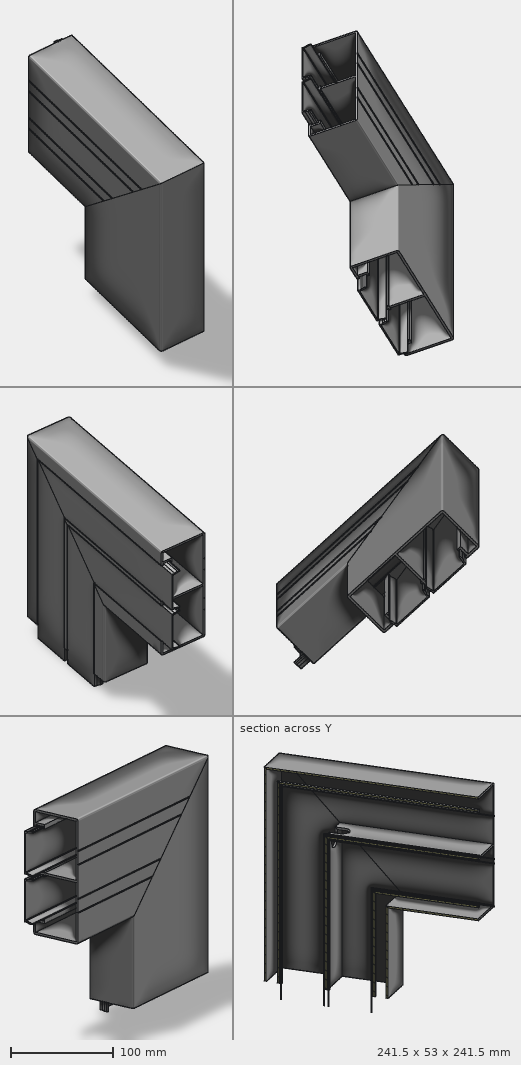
import cadquery as cq

overall = 241.5
cover_overhang = 17.0
leg_length = overall - cover_overhang
leg_width = 130.0
depth = 53.0
wall = 2.5
corner_radius = 2.5
leg_centre = -leg_width / 2

lip_outset = 13.5
lip_thickness = 2.5
lip_depth = 13.0
hook_thickness = 1.7
hook_overlap = 0.5

groove_spacing = 14.2
groove_width = 1.2
groove_depth = 0.7

web_thickness = 2.5
notch_width = 15.5
notch_reach = 17.0
notch_height = 23.0

bay_offset = 24.9
bay_offsets = (bay_offset, -bay_offset)
cover_width = 44.5
plate_thickness = 1.5
plate_inset = 0.7
leg_thickness = 1.5
root_chamfer = 0.7
cover_spread = 1.2
inner_bend_spread = 0.7
tip_taper = 0.5
spread_start = 4.0
spread_mid = 7.2
tip_start = 9.2
cover_depth = 10.6

flange_thickness = 2.7
flange_edge = bay_offset + cover_width / 2
flange_y = depth - flange_thickness
hook_edge = flange_edge - hook_overlap
web_flange_half = bay_offset - cover_width / 2
web_hook_half = web_flange_half + hook_overlap
lip_outer = leg_width / 2 - lip_outset
lip_inner = lip_outer - lip_thickness
hook_inner_y = depth - lip_depth
hook_outer_y = hook_inner_y + hook_thickness


def bar_along_x(outline, length, offset):
    """Bar ending at X = 0, from (y, height) points taken from a line at this offset from the leg centre."""
    points = [(y, leg_centre + offset + height) for y, height in outline]
    return cq.Workplane("YZ").workplane(offset=-length).polyline(points).close().extrude(length)


def symmetric_bar(half_outline, length, offset=0):
    """Bar along X whose section is an open half outline and its mirror image."""
    mirrored = [(y, -height) for y, height in reversed(half_outline)]
    return bar_along_x(half_outline + mirrored, length, offset)


def mitre(bar):
    """Trim a bar along X to the 45 degree plane X = Z."""
    beyond = [(0, 0), (overall, 0), (overall, -leg_width), (-leg_width, -leg_width)]
    waste = cq.Workplane("XZ").polyline(beyond).close().extrude(-depth)
    return bar.cut(waste)


def other_leg(body):
    """Mirror a body of the leg along X into the leg along Z."""
    return body.mirror((1, 0, -1), (0, 0, 0))


def make_duct():
    blank = (
        cq.Workplane("XY")
        .box(leg_length, depth, leg_width, centered=False)
        .translate((-leg_length, 0, -leg_width))
        .edges("|X")
        .fillet(corner_radius)
    )
    inside_half = leg_width / 2 - wall
    void = [
        (wall, inside_half),
        (depth - wall, inside_half),
        (depth - wall, lip_outer),
        (hook_inner_y, lip_outer),
        (hook_inner_y, hook_edge),
        (hook_outer_y, hook_edge),
        (hook_outer_y, lip_inner),
        (flange_y, lip_inner),
        (flange_y, flange_edge),
        (depth, flange_edge),
    ]
    channel = blank.cut(symmetric_bar(void, leg_length))
    return mitre(channel.union(make_partition()))


def make_partition():
    """Web between the bays, with the hooks and flanges that hold the covers."""
    web_half = web_thickness / 2
    outline = [
        (wall / 2, web_half),
        (hook_inner_y, web_half),
        (hook_inner_y, web_hook_half),
        (hook_outer_y, web_hook_half),
        (hook_outer_y, web_half),
        (flange_y, web_half),
        (flange_y, web_flange_half),
        (depth, web_flange_half),
    ]
    notch = (
        cq.Workplane("XY", origin=(leg_centre, notch_height, leg_centre - web_thickness))
        .slot2D(2 * notch_reach, notch_width)
        .extrude(2 * web_thickness)
    )
    return symmetric_bar(outline, leg_length).cut(notch)


def cut_grooves(duct):
    for bay in bay_offsets:
        for side in (-1, 1):
            outline = [(0, groove_width / 2), (groove_depth, 0), (0, -groove_width / 2)]
            groove = bar_along_x(outline, leg_length, bay + side * groove_spacing / 2)
            duct = duct.cut(groove)
    return duct


def make_cover(offset):
    """Cover plate with two snap legs that spread outward below the plate."""
    plate_half = cover_width / 2
    spread_half = plate_half + cover_spread
    plate_bottom = plate_inset + plate_thickness
    root = plate_half - leg_thickness
    inside = [
        (plate_bottom, root - root_chamfer),
        (plate_bottom + root_chamfer, root),
        (spread_start, root),
        (spread_mid, root + inner_bend_spread),
        (tip_start, spread_half - leg_thickness),
        (cover_depth, spread_half - leg_thickness),
    ]
    outside = [
        (cover_depth, spread_half - tip_taper),
        (tip_start, spread_half),
        (spread_mid, spread_half),
        (spread_start, plate_half),
        (plate_inset, plate_half),
    ]
    half_outline = [(depth - down, across) for down, across in inside + outside]
    return mitre(symmetric_bar(half_outline, overall, offset))


plain_duct = make_duct()
covers = [make_cover(offset) for offset in bay_offsets]

bodies = [cut_grooves(plain_duct), other_leg(plain_duct)]
for cover in covers:
    bodies += [cover, other_leg(cover)]

result = cq.Compound.makeCompound([solid for body in bodies for solid in body.solids().vals()])